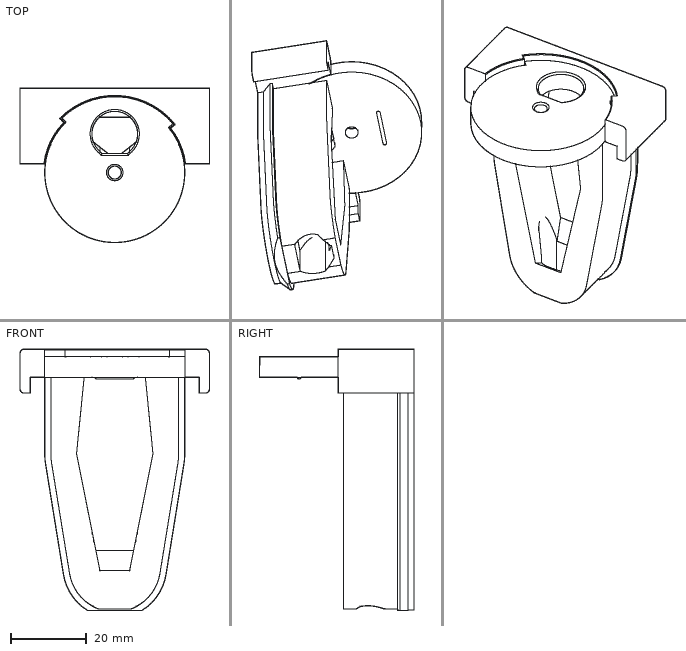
import cadquery as cq
import math

HEIGHT = 69.0
HEAD_WIDTH = 50.0
HEAD_DEPTH = 20.0
HEAD_BOTTOM = 61.55
LIP_BOTTOM = 57.35
LIP_THICKNESS = 2.75
LIP_ROUNDING = 1.2

DIAL_Y = -22.3
DIAL_RADIUS = 18.5
DIAL_TOP = 67.0
TAB_RADIUS = 20.0
TAB_START = 40.0
TAB_END = 134.0
DIAL_GAP = 0.15
TAB_GAP = 0.15
TAB_END_GAP = 1.0
RECESS_CHAMFER = 0.2
PIVOT_DIAMETER = 3.4
HOLE_CHAMFER = 0.5
RIDGE_LENGTH = 10.35
RIDGE_RADIUS = 0.5
RIDGE_Y = -30.3

BORE_Y = -12.15
BORE_RADIUS = 6.0
DIAL_BORE_FLAT_Y = -17.25
FOOT_BORE_BACK_Y = -7.7
FOOT_FLAT_START = (5.7, -14.15)
FOOT_FLAT_END = (1.8, -17.25)

BODY_DEPTH = 18.6
FLANGE_HALF_WIDTH = 18.5
SHOULDER_Z = 40.0
SHOULDER_RADIUS = 16.55
FOOT_CENTRE_Z = 11.7
FOOT_RADIUS = 13.7
BODY_INSET = 1.65
BODY_BOTTOM = 0.4
BACK_RIM_DEPTH = 1.6
BEVEL_FRONT = 3.7
FLANGE_DEPTH = 4.35
BACK_INSET = BEVEL_FRONT - BACK_RIM_DEPTH

POCKET_BACK_Y = -4.3
POCKET_TOP_HALF = 8.1
POCKET_WIDE_HALF = 10.1
POCKET_WIDE_Z = 41.4
POCKET_FLOOR_HALF = 3.9
POCKET_FLOOR_Z = 10.6
POCKET_SLOPE_TOP = 15.9
POCKET_FLOOR_ANGLE = 33.0


def box(x_min, x_max, y_min, y_max, z_min, z_max):
    size = (x_max - x_min, y_max - y_min, z_max - z_min)
    return cq.Workplane("XY").box(*size, centered=False).translate((x_min, y_min, z_min))


def polar(radius, degrees):
    angle = math.radians(degrees)
    return radius * math.cos(angle), radius * math.sin(angle)


def tongue_wire(depth, inset):
    """Tongue outline moved inward by `inset`, on the plane at `depth` in front of the back face."""
    half_width = FLANGE_HALF_WIDTH - inset
    foot_radius = FOOT_RADIUS - inset
    drop = SHOULDER_Z - FOOT_CENTRE_Z
    tilt = math.acos(foot_radius / math.hypot(half_width, drop)) - math.atan2(drop, half_width)
    touch_x = foot_radius * math.cos(tilt)
    touch_z = FOOT_CENTRE_Z - foot_radius * math.sin(tilt)
    run = SHOULDER_RADIUS * math.tan(tilt / 2)
    arc_centre_x = half_width - SHOULDER_RADIUS
    arc_centre_z = SHOULDER_Z + run
    mid_x = arc_centre_x + SHOULDER_RADIUS * math.cos(tilt / 2)
    mid_z = arc_centre_z - SHOULDER_RADIUS * math.sin(tilt / 2)
    end_x = arc_centre_x + SHOULDER_RADIUS * math.cos(tilt)
    end_z = arc_centre_z - SHOULDER_RADIUS * math.sin(tilt)
    return (
        cq.Workplane("XZ", origin=(0, -depth, 0))
        .moveTo(-half_width, HEAD_BOTTOM)
        .lineTo(half_width, HEAD_BOTTOM)
        .lineTo(half_width, arc_centre_z)
        .threePointArc((mid_x, mid_z), (end_x, end_z))
        .lineTo(touch_x, touch_z)
        .threePointArc((0, FOOT_CENTRE_Z - foot_radius), (-touch_x, touch_z))
        .lineTo(-end_x, end_z)
        .threePointArc((-mid_x, mid_z), (-half_width, arc_centre_z))
        .close()
    )


def keep_above(solid, z_min):
    return solid.intersect(box(-HEAD_WIDTH, HEAD_WIDTH, -HEAD_WIDTH, 0, z_min, HEIGHT))


def tongue():
    back = tongue_wire(0, BACK_INSET).extrude(BACK_RIM_DEPTH)
    bevel_start = tongue_wire(BACK_RIM_DEPTH, BACK_INSET).wires().val()
    bevel_end = tongue_wire(BEVEL_FRONT, 0).wires().val()
    bevel = cq.Workplane(cq.Solid.makeLoft([bevel_start, bevel_end], True))
    rim = tongue_wire(BEVEL_FRONT, 0).extrude(FLANGE_DEPTH - BEVEL_FRONT)
    flange = keep_above(back.union(bevel).union(rim), 0)
    body = tongue_wire(FLANGE_DEPTH, BODY_INSET).extrude(BODY_DEPTH - FLANGE_DEPTH)
    return flange.union(keep_above(body, BODY_BOTTOM))


def pocket():
    """Hexagonal pocket open to the front, its back and floor sloping down into the foot bore."""
    sides = [(POCKET_TOP_HALF, HEAD_BOTTOM), (POCKET_WIDE_HALF, POCKET_WIDE_Z),
             (POCKET_FLOOR_HALF, POCKET_FLOOR_Z), (POCKET_FLOOR_HALF, 0)]
    mirrored = [(-x, z) for x, z in reversed(sides)]
    across = cq.Workplane("XZ").polyline(sides + mirrored).close().extrude(BODY_DEPTH)
    floor_run = BODY_DEPTH + FOOT_BORE_BACK_Y
    floor_low_z = POCKET_FLOOR_Z - floor_run * math.tan(math.radians(POCKET_FLOOR_ANGLE))
    section = [(-BODY_DEPTH, HEAD_BOTTOM), (POCKET_BACK_Y, HEAD_BOTTOM),
               (POCKET_BACK_Y, POCKET_SLOPE_TOP), (FOOT_BORE_BACK_Y, POCKET_FLOOR_Z),
               (FOOT_BORE_BACK_Y, floor_low_z), (-BODY_DEPTH, POCKET_FLOOR_Z)]
    along = cq.Workplane("YZ").polyline(section).close().extrude(POCKET_WIDE_HALF, both=True)
    return across.intersect(along)


def foot_bore():
    """Vertical bore through the foot, flattened at the back and across its two front corners."""
    bore = cq.Workplane("XY").center(0, BORE_Y).circle(BORE_RADIUS).extrude(POCKET_WIDE_Z)
    start_x, start_y = FOOT_FLAT_START
    end_x, end_y = FOOT_FLAT_END
    outline = [(BORE_RADIUS, FOOT_BORE_BACK_Y), (BORE_RADIUS, start_y), (start_x, start_y), (end_x, end_y)]
    mirrored = [(-x, y) for x, y in reversed(outline)]
    flats = cq.Workplane("XY").polyline(outline + mirrored).close().extrude(POCKET_WIDE_Z)
    return bore.intersect(flats)


def sector(radius, start, end, z_min, z_max):
    """Pie slice around the dial axis, between two angles in degrees."""
    return (
        cq.Workplane("XY", origin=(0, DIAL_Y, z_min))
        .lineTo(*polar(radius, start))
        .threePointArc(polar(radius, (start + end) / 2), polar(radius, end))
        .close()
        .extrude(z_max - z_min)
    )


def round_plate(radius, z_min, z_max):
    return cq.Workplane("XY", origin=(0, DIAL_Y, z_min)).circle(radius).extrude(z_max - z_min)


def head_block():
    half_width = HEAD_WIDTH / 2
    lip_inside = half_width - LIP_THICKNESS
    block = box(-half_width, half_width, -HEAD_DEPTH, 0, LIP_BOTTOM, HEIGHT)
    block = block.edges("|Y").fillet(LIP_ROUNDING)
    block = block.cut(box(-lip_inside, lip_inside, -HEAD_DEPTH, 0, LIP_BOTTOM, HEAD_BOTTOM))
    block = block.cut(round_plate(DIAL_RADIUS + DIAL_GAP, HEAD_BOTTOM, HEIGHT))
    tab_slot = sector(TAB_RADIUS + TAB_GAP, TAB_START - TAB_END_GAP, TAB_END + TAB_END_GAP,
                      HEAD_BOTTOM, HEIGHT)
    block = block.cut(tab_slot)
    reach = TAB_RADIUS + 2 * TAB_GAP
    recess = cq.selectors.BoxSelector((-reach, -HEAD_DEPTH + RECESS_CHAMFER, HEAD_BOTTOM),
                                      (reach, DIAL_Y + reach, HEIGHT + RECESS_CHAMFER))
    return block.faces(">Z").edges(recess).chamfer(RECESS_CHAMFER)


def dial_bore():
    """Bore through the disc: a circle whose front runs into 45 degree sides and a flat."""
    touch = BORE_RADIUS * math.sqrt(0.5)
    flat_half = touch - (BORE_Y - touch - DIAL_BORE_FLAT_Y)
    return (
        cq.Workplane("XY", origin=(0, 0, HEAD_BOTTOM))
        .moveTo(-flat_half, DIAL_BORE_FLAT_Y)
        .lineTo(flat_half, DIAL_BORE_FLAT_Y)
        .lineTo(touch, BORE_Y - touch)
        .threePointArc((0, BORE_Y + BORE_RADIUS), (-touch, BORE_Y - touch))
        .close()
        .extrude(DIAL_TOP - HEAD_BOTTOM)
    )


def dial():
    disc = round_plate(DIAL_RADIUS, HEAD_BOTTOM, DIAL_TOP)
    disc = disc.union(sector(TAB_RADIUS, TAB_START, TAB_END, HEAD_BOTTOM, DIAL_TOP))
    disc = disc.cut(dial_bore())
    disc = disc.cut(round_plate(PIVOT_DIAMETER / 2, HEAD_BOTTOM, DIAL_TOP))
    rims = [edge for wire in disc.faces(">Z").val().innerWires() for edge in wire.Edges()]
    return disc.newObject(rims).chamfer(HOLE_CHAMFER)


def detent_ridge():
    """Round-ended ridge under the disc; its upper half is buried in the disc."""
    straight = RIDGE_LENGTH - 2 * RIDGE_RADIUS
    ridge = cq.Workplane("YZ").circle(RIDGE_RADIUS).extrude(straight / 2, both=True)
    for side in (-1, 1):
        ridge = ridge.union(cq.Workplane("XY").sphere(RIDGE_RADIUS).translate((side * straight / 2, 0, 0)))
    return ridge.translate((0, RIDGE_Y, HEAD_BOTTOM))


body = tongue().cut(pocket()).cut(foot_bore())
result = body.union(head_block()).union(dial()).union(detent_ridge())